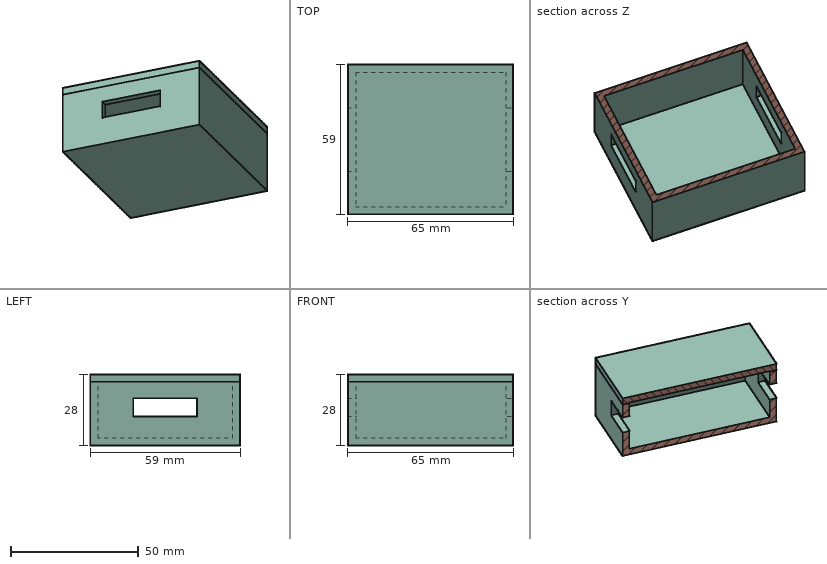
import cadquery as cq

length = 65.0
width = 59.0
total_height = 28.0
lid_thickness = 3.0
wall = 3.0

window_width = 25.0
window_height = 7.0
window_sill = 11.5

housing_height = total_height - lid_thickness
cavity_length = length - 2 * wall
cavity_width = width - 2 * wall
cavity_height = housing_height - wall


def block(size_x, size_y, size_z, bottom):
    """A box centred on the Z axis, standing at the given height."""
    return (
        cq.Workplane("XY")
        .workplane(offset=bottom)
        .box(size_x, size_y, size_z, centered=(True, True, False))
    )


def make_housing():
    """Open-topped box with a window in line through both end walls."""
    shell = block(length, width, housing_height, 0)
    cavity = block(cavity_length, cavity_width, cavity_height, wall)
    windows = block(length, window_width, window_height, window_sill)
    return shell.cut(cavity).cut(windows)


def make_lid():
    """Flat plate that closes the top of the housing."""
    return block(length, width, lid_thickness, housing_height)


housing = make_housing()
lid = make_lid()

result = cq.Compound.makeCompound([housing.val(), lid.val()])